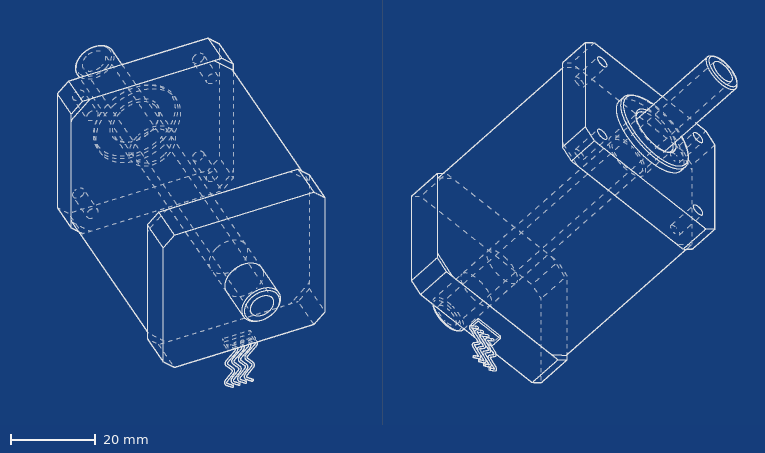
import cadquery as cq

shaft_front = 0.0
pilot_front = 23.0
flange_front = 25.0
stator_front = 32.9
stator_rear = 75.8
motor_rear = 84.7
shaft_rear = 94.7

motor_width = 42.0
cap_corner = 2.9
stator_corner = 4.9
stator_corner_radius = 1.3

pilot_diameter = 22.0
clearance_diameter = 12.0
edge_chamfer = 0.5

shaft_diameter = 10.0
shaft_bore_diameter = 6.1

mount_diameter = 3.0
mount_spacing = 31.1

lead_x = 81.7
connector_length = 3.0
connector_width = 7.2
connector_height = 1.1
wire_diameter = 0.6
wire_count = 4
wire_pitch = 1.7
wire_row_offset = 0.4
wire_bend_radius = 0.9
wire_zigzag = [(-1.0, 0.6), (2.0, 3.1), (-1.4, 6.6), (1.0, 9.8), (-1.7, 12.9), (0.6, 14.6)]


def cylinder(x_start, x_end, diameter):
    """Round bar along the X axis."""
    return cq.Workplane("YZ", origin=(x_start, 0, 0)).circle(diameter / 2).extrude(x_end - x_start)


def square_block(x_start, x_end, corner):
    """Square block along the X axis with its four long edges chamfered."""
    block = cq.Workplane("YZ", origin=(x_start, 0, 0)).rect(motor_width, motor_width)
    return block.extrude(x_end - x_start).edges("|X").chamfer(corner)


shaft_hole = cylinder(shaft_front, shaft_rear, shaft_diameter)


def make_front_cap():
    cap = square_block(flange_front, stator_front, cap_corner)
    pilot = cylinder(pilot_front, flange_front, pilot_diameter).faces("<X").chamfer(edge_chamfer)
    clearance = cylinder(pilot_front, stator_front, clearance_diameter)
    cap = cap.union(pilot).cut(clearance)
    clearance_rim = cq.selectors.RadiusNthSelector(0)
    cap = cap.faces("<X").edges(clearance_rim).chamfer(edge_chamfer)
    mount_holes = (
        cq.Workplane("YZ", origin=(flange_front, 0, 0))
        .rect(mount_spacing, mount_spacing, forConstruction=True)
        .vertices()
        .circle(mount_diameter / 2)
        .extrude(stator_front - flange_front)
    )
    return cap.cut(mount_holes)


def make_stator():
    block = square_block(stator_front, stator_rear, stator_corner)
    return block.edges("|X").fillet(stator_corner_radius).cut(shaft_hole)


def make_rear_cap():
    return square_block(stator_rear, motor_rear, cap_corner).cut(shaft_hole)


def make_shaft():
    bar = cylinder(shaft_front, shaft_rear, shaft_diameter).faces("<X or >X").chamfer(edge_chamfer)
    return bar.cut(cylinder(shaft_front, shaft_rear, shaft_bore_diameter))


def make_wire(row_y):
    """Round wire that waves in the YZ plane: a zigzag with rounded bends."""
    motor_bottom = -motor_width / 2
    corners = [cq.Vector(lead_x, row_y + shift, motor_bottom - depth) for shift, depth in wire_zigzag]
    zigzag = cq.Wire.makePolygon(corners)
    path = zigzag.fillet(wire_bend_radius, zigzag.Vertices()[1:-1])
    section_plane = cq.Plane(corners[0], xDir=(1, 0, 0), normal=corners[1] - corners[0])
    return cq.Workplane(section_plane).circle(wire_diameter / 2).sweep(cq.Workplane(path))


def make_lead():
    connector_z = -motor_width / 2 - connector_height / 2
    lead = cq.Workplane(origin=(lead_x, 0, connector_z)).box(connector_length, connector_width, connector_height)
    for index in range(wire_count):
        row_y = wire_row_offset + (index - (wire_count - 1) / 2) * wire_pitch
        lead = lead.union(make_wire(row_y))
    return lead


front_cap = make_front_cap()
stator = make_stator()
rear_cap = make_rear_cap()
shaft = make_shaft()
lead = make_lead()

result = cq.Compound.makeCompound(
    [front_cap.val(), stator.val(), rear_cap.val(), shaft.val(), lead.val()]
)